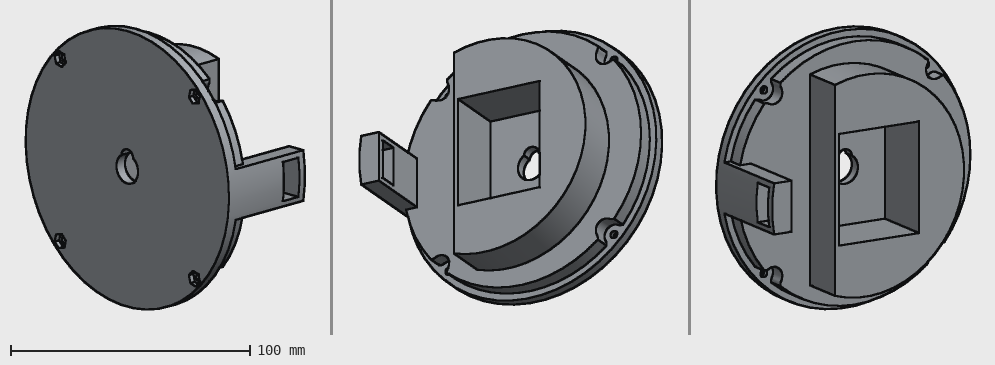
import cadquery as cq
import math


plate_radius = 60.0
plate_thickness = 5.0
ring_step = 3.1
ring_radius = plate_radius - ring_step
ring_thickness = 7.5
ring_back = plate_thickness + ring_thickness

drum_radius = 48.0
drum_offset_x = 6.5
drum_height = 20.0
drum_back = ring_back + drum_height
drum_flat_x = 21.6

cavity_wall = 2.0
cavity_half_x = drum_flat_x - cavity_wall
cavity_half_z = 24.1

arm_inner_x = 50.5
arm_width = 22.1
arm_back = 45.0
window_width = 17.0
window_end_wall = 3.4
window_front = drum_back
window_back = arm_back - window_end_wall

keyhole_radius = 6.4
keyhole_top_radius = 3.5
keyhole_top_z = 5.0

screw_offset = 39.6
screw_radius = 1.5
nut_corner_radius = 3.4
nut_depth = 2.6
half_hexagon_angle = 180 / 6
notch_radius = 4.5
notch_wall = 36.1
notch_lip_radius = 2.8
match_tolerance = 0.01

corner_sides = [(-1, -1), (-1, 1), (1, -1), (1, 1)]


def disc(radius, y_front, y_back, x=0.0, z=0.0):
    """Cylinder along Y between two depths."""
    start = cq.Vector(x, y_front, z)
    return cq.Workplane(obj=cq.Solid.makeCylinder(radius, y_back - y_front, start, cq.Vector(0, 1, 0)))


def block(x_min, x_max, y_front, y_back, width_z):
    """Box centred on z = 0."""
    size_x = x_max - x_min
    corner = cq.Vector(x_min, y_front, -width_z / 2)
    return cq.Workplane(obj=cq.Solid.makeBox(size_x, y_back - y_front, width_z, corner))


def nut_pocket(x, z):
    """Hexagonal pocket in the front face, one flat facing the disc axis."""
    hexagon = cq.Workplane("XZ").polygon(6, 2 * nut_corner_radius).extrude(-nut_depth)
    flat_direction = math.degrees(math.atan2(z, x))
    corner_direction = flat_direction + half_hexagon_angle
    return hexagon.rotate((0, 0, 0), (0, 1, 0), -corner_direction).translate((x, 0, z))


def cut_notch(ring, side_x, side_z):
    """Round notch at one screw that opens to the rim between two walls along X and Z."""
    notch = disc(notch_radius, plate_thickness, ring_back, screw_offset, screw_offset)
    for start_x, start_z in ((screw_offset, notch_wall), (notch_wall, screw_offset)):
        mouth = cq.Workplane("XZ", origin=(start_x, plate_thickness, start_z))
        notch = notch.union(mouth.rect(plate_radius, plate_radius, centered=False).extrude(-ring_thickness))
    if side_x < 0:
        notch = notch.mirror("YZ")
    if side_z < 0:
        notch = notch.mirror("XY")
    return ring.cut(notch)


def is_notch_lip(edge):
    """True for an edge where the round part of a notch meets a wall."""
    center = edge.Center()
    near, far = sorted((abs(center.x), abs(center.z)))
    on_wall = math.isclose(near, notch_wall, abs_tol=match_tolerance)
    on_rim = math.isclose(math.hypot(near, far), ring_radius, abs_tol=match_tolerance)
    return on_wall and not on_rim


def make_ring():
    """Ring layer with a notch around every screw."""
    ring = disc(ring_radius, plate_thickness, ring_back)
    for side_x, side_z in corner_sides:
        ring = cut_notch(ring, side_x, side_z)
    return ring.edges("|Y").filter(is_notch_lip).fillet(notch_lip_radius)


def make_drum():
    """Drum cut flat on its +X side."""
    drum = disc(drum_radius, ring_back, drum_back, drum_offset_x)
    drum_left = drum_offset_x - drum_radius
    return drum.intersect(block(drum_left, drum_flat_x, ring_back, drum_back, 2 * drum_radius))


def make_arm():
    """Arm whose outer side follows the plate rim."""
    arm = block(arm_inner_x, plate_radius, plate_thickness, arm_back, arm_width)
    arm = arm.intersect(disc(plate_radius, plate_thickness, arm_back))
    return arm.cut(block(arm_inner_x, plate_radius, window_front, window_back, window_width))


def cut_keyhole(body):
    body = body.cut(disc(keyhole_radius, 0, plate_thickness))
    return body.cut(disc(keyhole_top_radius, 0, plate_thickness, 0, keyhole_top_z))


def cut_screw_holes(body):
    for side_x, side_z in corner_sides:
        x = side_x * screw_offset
        z = side_z * screw_offset
        body = body.cut(disc(screw_radius, 0, plate_thickness, x, z))
        body = body.cut(nut_pocket(x, z))
    return body


plate = disc(plate_radius, 0, plate_thickness)
cavity = block(-cavity_half_x, cavity_half_x, plate_thickness, drum_back, 2 * cavity_half_z)

result = plate.union(make_ring()).union(make_drum()).union(make_arm())
result = result.cut(cavity)
result = cut_keyhole(result)
result = cut_screw_holes(result)